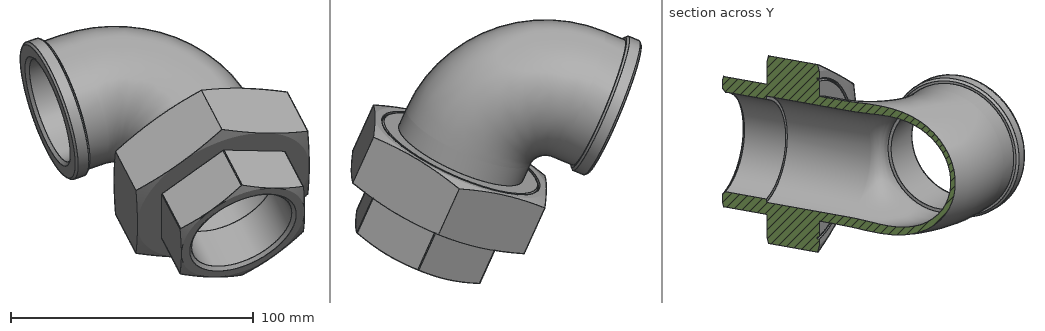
import cadquery as cq
import math

tube_radius = 28.0
bend_radius = 34.5
inlet_end = 50.0
outlet_end = 88.0

bore_radius = 22.4
cavity_radius = 23.8
cavity_bend_radius = 28.3
cavity_start = 30.5
mouth_radius = 23.8
mouth_depth = 1.4

collar_radius = 30.0
collar_length = 6.6
collar_chamfer = 1.0

nut_start = 42.6
nut_length = 24.8
nut_flats = 76.9
nut_chamfer_angle = 15

gap_radius = 35.5
flange_radius = 35.0
flange_chamfer = 0.6
gap_depth = 1.2

tail_flats = 55.2
tail_corner_radius = 31.7
tail_chamfer_angle = 18

nut_end = nut_start + nut_length


def along_x(start):
    """Sketch plane across the outlet axis; its local x and y are Y and Z."""
    return cq.Workplane("YZ", origin=(start, 0, 0))


def rod_x(radius, start, end):
    """Round bar on the outlet axis."""
    return along_x(start).circle(radius).extrude(end - start)


def rod_y(radius, start, end):
    """Round bar on the inlet axis, between two distances in front of the outlet axis."""
    return cq.Workplane("XZ", origin=(0, -start, 0)).circle(radius).extrude(end - start)


def hex_bar(flats, start, end):
    """Hexagonal bar with two corners pointing along Z."""
    corner_circle = flats / math.cos(math.radians(30))
    hexagon = along_x(start).polygon(6, corner_circle).extrude(end - start)
    return hexagon.rotate((0, 0, 0), (1, 0, 0), 90)


def bevel_cone(flats, face, direction, angle):
    """Cone that bevels hexagon corners at a face, leaving the flats circle on that face.

    direction is +1 where the hexagon lies on the +X side of the face, otherwise -1.
    """
    face_radius = flats / 2
    run = flats
    rise = run / math.tan(math.radians(angle))
    return (
        cq.Workplane("XY")
        .polyline([
            (face, 0),
            (face, face_radius),
            (face + direction * run, face_radius + rise),
            (face + direction * run, 0),
        ])
        .close()
        .revolve(360, (0, 0, 0), (1, 0, 0))
    )


def elbow(radius, turn_radius, inlet_length, outlet_length):
    """Round solid running straight from the inlet, through the bend, then straight to the outlet."""
    path = (
        cq.Workplane("XY")
        .moveTo(0, -inlet_length)
        .lineTo(0, -turn_radius)
        .radiusArc((turn_radius, 0), turn_radius)
        .lineTo(outlet_length, 0)
    )
    mouth = cq.Workplane("XZ", origin=(0, -inlet_length, 0)).circle(radius)
    return mouth.sweep(path)


def inlet_collar():
    collar = rod_y(collar_radius, inlet_end - collar_length, inlet_end)
    return collar.edges().chamfer(collar_chamfer)


def union_nut():
    nut = hex_bar(nut_flats, nut_start, nut_end)
    nut = nut.intersect(bevel_cone(nut_flats, nut_start, 1, nut_chamfer_angle))
    nut = nut.intersect(bevel_cone(nut_flats, nut_end, -1, nut_chamfer_angle))
    gap_end = nut_start + gap_depth
    flange = rod_x(flange_radius, nut_start, gap_end).faces("<X").chamfer(flange_chamfer)
    return nut.cut(rod_x(gap_radius, nut_start, gap_end)).union(flange)


def tailpiece():
    hexagon = hex_bar(tail_flats, nut_end, outlet_end)
    hexagon = hexagon.intersect(rod_x(tail_corner_radius, nut_end, outlet_end))
    return hexagon.intersect(bevel_cone(tail_flats, outlet_end, -1, tail_chamfer_angle))


def mouth_taper():
    """Tapered lead-in, narrowing along +X from the mouth radius to the bore radius."""
    return (
        cq.Workplane("XY")
        .polyline([(0, 0), (0, mouth_radius), (mouth_depth, bore_radius), (mouth_depth, 0)])
        .close()
        .revolve(360, (0, 0, 0), (1, 0, 0))
    )


inlet_taper = mouth_taper().rotate((0, 0, 0), (0, 0, 1), 90).translate((0, -inlet_end, 0))
outlet_taper = mouth_taper().rotate((0, 0, 0), (0, 0, 1), 180).translate((outlet_end, 0, 0))

cavity = elbow(cavity_radius, cavity_bend_radius, cavity_start, nut_end)
bore = cavity.union(rod_y(bore_radius, cavity_start, inlet_end))
bore = bore.union(rod_x(bore_radius, nut_end, outlet_end))

body = elbow(tube_radius, bend_radius, inlet_end, nut_start)
body = body.union(inlet_collar()).union(union_nut()).union(tailpiece())
result = body.cut(bore).cut(inlet_taper).cut(outlet_taper)